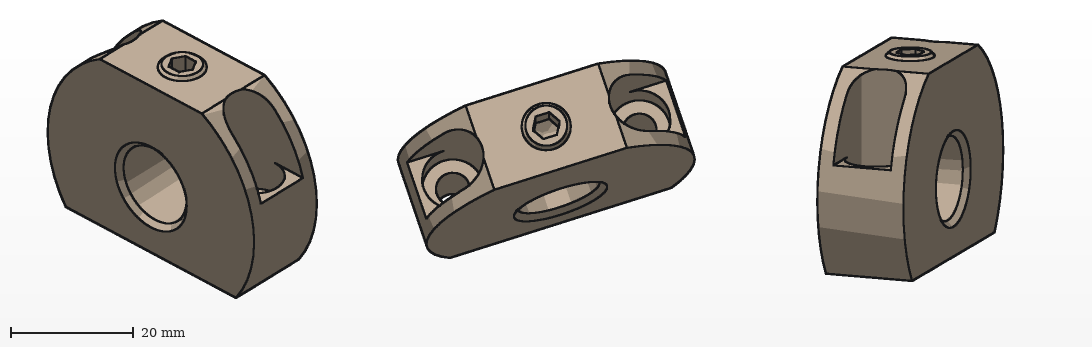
import cadquery as cq
import math

disc_radius = 23.0
thickness = 15.0
top_z = 20.0
bottom_z = -13.0

bore_diameter = 14.0
bore_chamfer = 1.0

mount_x = 16.0
mount_hole_diameter = 5.5
counterbore_diameter = 10.0
step_floor_z = 6.0
head_seat_z = 0.0

screw_diameter = 8.0
screw_top_z = 20.6
screw_chamfer = 0.6
screw_base_z = top_z - 4.0
socket_across_flats = 4.0
socket_depth = 4.0
socket_cone_half_angle = 60.0


def make_body():
    disc = cq.Workplane("XZ").circle(disc_radius).extrude(thickness / 2, both=True)
    height = top_z - bottom_z
    band = cq.Workplane("XY").workplane(offset=bottom_z).rect(2 * disc_radius, thickness).extrude(height)
    return disc.intersect(band)


def make_bore():
    """Bore with a 45 degree countersink at each face, revolved about Y."""
    radius = bore_diameter / 2
    half = thickness / 2
    profile = [
        (0, -half),
        (radius + bore_chamfer, -half),
        (radius, -half + bore_chamfer),
        (radius, half - bore_chamfer),
        (radius + bore_chamfer, half),
        (0, half),
    ]
    return cq.Workplane("XY").polyline(profile).close().revolve(360, (0, 0, 0), (0, 1, 0))


def make_mount_cut(side):
    """Through hole, round head counterbore and a step open to the rim; side is -1 or +1."""
    counterbore = (
        cq.Workplane("XY").workplane(offset=head_seat_z)
        .center(side * mount_x, 0)
        .circle(counterbore_diameter / 2)
        .extrude(top_z - head_seat_z)
    )
    open_length = disc_radius - mount_x
    open_side = (
        cq.Workplane("XY").workplane(offset=step_floor_z)
        .center(side * (mount_x + open_length / 2), 0)
        .rect(open_length, counterbore_diameter)
        .extrude(top_z - step_floor_z)
    )
    hole = (
        cq.Workplane("XY").workplane(offset=bottom_z)
        .center(side * mount_x, 0)
        .circle(mount_hole_diameter / 2)
        .extrude(top_z - bottom_z)
    )
    return counterbore.union(open_side).union(hole)


def make_screw_tip():
    """Chamfered end of the set screw; its base is buried in the body."""
    base = cq.Workplane("XY").workplane(offset=screw_base_z)
    cylinder = base.circle(screw_diameter / 2).extrude(screw_top_z - screw_base_z)
    return cylinder.faces(">Z").chamfer(screw_chamfer)


def make_socket():
    """Hexagonal socket ending in a conical floor that reaches the hexagon corners."""
    corner_radius = socket_across_flats / math.sqrt(3)
    cone_depth = corner_radius / math.tan(math.radians(socket_cone_half_angle))
    cone_base_z = screw_top_z - socket_depth
    tip_z = cone_base_z - cone_depth
    hexagon = (
        cq.Workplane("XY").workplane(offset=tip_z)
        .polygon(6, 2 * corner_radius)
        .extrude(screw_top_z - tip_z)
    )
    pointed_profile = [
        (0, tip_z),
        (corner_radius, cone_base_z),
        (corner_radius, screw_top_z),
        (0, screw_top_z),
    ]
    pointed_pin = cq.Workplane("XZ").polyline(pointed_profile).close().revolve(360, (0, 0, 0), (0, 1, 0))
    return hexagon.intersect(pointed_pin)


body = make_body().cut(make_bore())
for side in (-1, 1):
    body = body.cut(make_mount_cut(side))

result = body.union(make_screw_tip()).cut(make_socket())